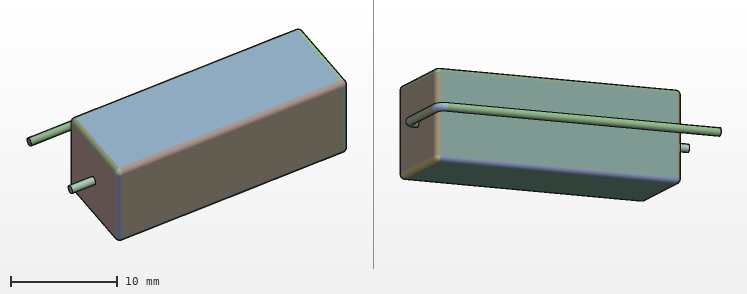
import cadquery as cq

total_width = 12.5
total_length = 28.9

body_side = 9.0
body_length = 25.0
edge_radius = 0.5

wire_diameter = 0.8
wire_radius = wire_diameter / 2
bend_radius = wire_diameter
front_lead_length = 2.5

lead_end_y = -front_lead_length
return_y = lead_end_y + total_length - wire_radius
return_x = -(total_width - body_side / 2 - wire_radius)
bend_start_y = return_y - bend_radius


def make_body():
    """Square block with all its edges rounded."""
    block = cq.Workplane("XY").box(body_side, body_length, body_side, centered=(True, False, True))
    return block.edges().fillet(edge_radius)


def make_front_lead():
    """Straight lead, rooted inside the body."""
    return (
        cq.Workplane("XZ", origin=(0, lead_end_y, 0))
        .circle(wire_radius)
        .extrude(-(front_lead_length + body_length / 4))
    )


def make_return_lead():
    """Lead that leaves the back face and folds forward beside the body."""
    root_y = body_length * 3 / 4
    path = (
        cq.Workplane("XY")
        .moveTo(0, root_y)
        .lineTo(0, bend_start_y)
        .tangentArcPoint((-bend_radius, return_y), relative=False)
        .lineTo(return_x + bend_radius, return_y)
        .tangentArcPoint((return_x, bend_start_y), relative=False)
        .lineTo(return_x, lead_end_y)
    )
    return cq.Workplane("XZ", origin=(0, root_y, 0)).circle(wire_radius).sweep(path)


result = make_body().union(make_front_lead()).union(make_return_lead())